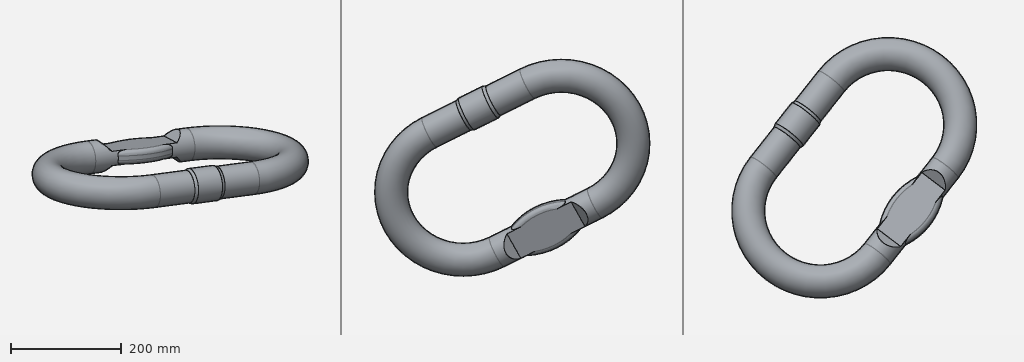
import cadquery as cq
import math

overall_length = 519.5
bar_diameter = 60.0
straight_length = 200.0
bend_radius = (overall_length - straight_length - bar_diameter) / 2
bar_radius = bar_diameter / 2

sleeve_diameter = 64.5
sleeve_length = 61.0
sleeve_land_length = 48.5

flat_thickness = 27.0
flat_length = 131.0
bulge_width = 84.0
bulge_length = 108.5
bulge_edge_radius = 9.5


def make_ring():
    half_straight = straight_length / 2
    path = (
        cq.Workplane("XY")
        .moveTo(-bend_radius, -half_straight)
        .lineTo(-bend_radius, half_straight)
        .threePointArc((0, half_straight + bend_radius), (bend_radius, half_straight))
        .lineTo(bend_radius, -half_straight)
        .threePointArc((0, -half_straight - bend_radius), (-bend_radius, -half_straight))
        .close()
    )
    section = cq.Workplane("XZ", origin=(-bend_radius, -half_straight, 0)).circle(bar_radius)
    return section.sweep(path)


def make_sleeve():
    """Short collar whose ends taper down to the bar."""
    sleeve_radius = sleeve_diameter / 2
    half_length = sleeve_length / 2
    half_land = sleeve_land_length / 2
    return (
        cq.Workplane("XY")
        .moveTo(0, -half_length)
        .lineTo(bar_radius, -half_length)
        .lineTo(sleeve_radius, -half_land)
        .lineTo(sleeve_radius, half_land)
        .lineTo(bar_radius, half_length)
        .lineTo(0, half_length)
        .close()
        .revolve(360, (0, 0, 0), (0, 1, 0))
        .translate((bend_radius, 0, 0))
    )


def make_flat_cutter():
    """Trapezoidal prism above the grip, with 45 degree end ramps."""
    half_flat = flat_length / 2
    floor = flat_thickness / 2
    top = bar_diameter
    half_top = half_flat + top - floor
    return (
        cq.Workplane("YZ")
        .polyline([(-half_flat, floor), (half_flat, floor), (half_top, top), (-half_top, top)])
        .close()
        .extrude(bulge_width / 2, both=True)
        .translate((-bend_radius, 0, 0))
    )


def make_bulge():
    """Lens-shaped plate through the bar, with rounded long edges."""
    sag = bulge_width / 2 - bar_radius
    arc_radius = ((bulge_length / 2) ** 2 + sag**2) / (2 * sag)
    arc_center = arc_radius - bulge_width / 2
    tip = math.sqrt(arc_radius**2 - arc_center**2)
    return (
        cq.Workplane("XY")
        .moveTo(0, -tip)
        .threePointArc((bulge_width / 2, 0), (0, tip))
        .threePointArc((-bulge_width / 2, 0), (0, -tip))
        .close()
        .extrude(flat_thickness / 2, both=True)
        .intersect(cq.Workplane("XY").box(bulge_width, flat_length, flat_thickness))
        .faces("|Z")
        .edges("%CIRCLE")
        .fillet(bulge_edge_radius)
        .translate((-bend_radius, 0, 0))
    )


flat_cutter = make_flat_cutter()
result = make_ring().cut(flat_cutter).cut(flat_cutter.mirror("XY"))
result = result.union(make_bulge()).union(make_sleeve())